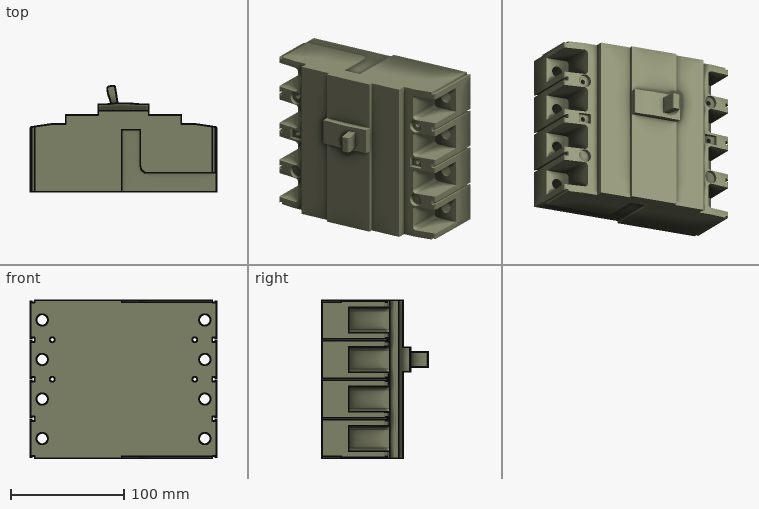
import cadquery as cq
length = 165.0
height = 140.0
pole_count = 4
pole_pitch = height / pole_count
half_length = length / 2

edge_depth = 57.5
shoulder_depth = 60.2
cover_depth = 68.3
ridge_depth = 72.0
plate_depth = 77.7
shoulder_half = 63.5
cover_half = 51.3
ridge_half = 22.5
edge_radius = 2.0

toggle_z = pole_pitch / 2
plate_height = 22.0
dome_half = 14.8
dome_depth = 78.7
toggle_height = 13.5
tip_depth = 94.2
toggle_root_left = -11.2
toggle_root_right = -5.1
toggle_flare_middle = (-12.4, 82.8)
toggle_flare_end = (-13.7, 86.5)
toggle_left_shoulder = (-14.5, 90.8)
toggle_left_round = (-13.7, 93.0)
toggle_tip_left = (-11.5, 93.7)
toggle_tip_right = -9.2
toggle_right_round = (-7.8, 93.5)
toggle_right_shoulder = (-7.3, 92.4)

pocket_floor_x = 60.4
pocket_height = 22.6
pocket_start = 24.1
pocket_radius = 3.1

neck_width = 2.0
neck_length = 1.3
head_width = 3.8
slot_length = 3.8

terminal_hole_diameter = 9.9
terminal_hole_x = 72.0
screw_hole_diameter = 4.3
screw_hole_x = 63.0
screw_seat_width = 8.5
screw_seat_length = 11.5
screw_seat_sink = screw_hole_diameter

recess_sink = 2.0
recess_left = -1.5
leg_right = 15.0
leg_depth = 55.3
foot_depth = 16.8
recess_radius = 6.1


def block(x0, x1, y0, y1, z0, z1):
    """Box given by its limits along each axis."""
    return cq.Workplane("XY").box(x1 - x0, y1 - y0, z1 - z0, centered=False).translate((x0, y0, z0))


def prism(sketch, thickness, middle_z):
    """Extrude an XY outline symmetrically about middle_z."""
    return sketch.extrude(thickness / 2, both=True).translate((0, 0, middle_z))


def hole(diameter, x, z):
    """Round cutter running through the whole depth."""
    return cq.Workplane("XZ").center(x, z).circle(diameter / 2).extrude(-tip_depth)


def make_screw_seat(x, z):
    """Recess around a screw position on the cover side: rectangular at mid-height, round elsewhere."""
    seat = cq.Workplane("XZ", origin=(0, shoulder_depth - screw_seat_sink, 0)).center(x, z)
    if z == 0:
        seat = seat.rect(screw_seat_length, screw_seat_width)
    else:
        seat = seat.circle(screw_seat_length / 2)
    return seat.extrude(-screw_seat_sink)


def make_case():
    """Stepped case with its outer cover edges rounded."""
    outline = (
        cq.Workplane("XY")
        .moveTo(-half_length, 0)
        .lineTo(-half_length, edge_depth)
        .lineTo(-shoulder_half, shoulder_depth)
        .lineTo(-cover_half, shoulder_depth)
        .lineTo(-cover_half, cover_depth)
        .lineTo(-ridge_half, cover_depth)
        .lineTo(-ridge_half, ridge_depth)
        .lineTo(ridge_half, ridge_depth)
        .lineTo(ridge_half, cover_depth)
        .lineTo(cover_half, cover_depth)
        .lineTo(cover_half, shoulder_depth)
        .lineTo(shoulder_half, shoulder_depth)
        .lineTo(half_length, edge_depth)
        .lineTo(half_length, 0)
        .close()
    )
    sharp_case = prism(outline, height, 0)
    outer_edges = cq.selectors.BoxSelector(
        (-length, edge_depth - edge_radius, -height), (length, edge_depth + edge_radius / 2, height)
    )
    return sharp_case.edges("|Z").edges(outer_edges).fillet(edge_radius)


def make_plate():
    """Raised plate with a slightly domed slide around the toggle."""
    outline = (
        cq.Workplane("XY")
        .moveTo(-ridge_half, cover_depth)
        .lineTo(-ridge_half, plate_depth)
        .lineTo(-dome_half, plate_depth)
        .threePointArc((0, dome_depth), (dome_half, plate_depth))
        .lineTo(ridge_half, plate_depth)
        .lineTo(ridge_half, cover_depth)
        .close()
    )
    return prism(outline, plate_height, toggle_z)


def make_toggle():
    """Lever leaning towards -X, rooted in the plate and rounded at its tip."""
    outline = (
        cq.Workplane("XY")
        .moveTo(toggle_root_left, cover_depth)
        .lineTo(toggle_root_left, dome_depth)
        .threePointArc(toggle_flare_middle, toggle_flare_end)
        .lineTo(*toggle_left_shoulder)
        .threePointArc(toggle_left_round, toggle_tip_left)
        .lineTo(toggle_tip_right, tip_depth)
        .threePointArc(toggle_right_round, toggle_right_shoulder)
        .lineTo(toggle_root_right, dome_depth)
        .lineTo(toggle_root_right, cover_depth)
        .close()
    )
    return prism(outline, toggle_height, toggle_z)


def make_pocket(side, z):
    """Terminal pocket open to the end face and to the cover side."""
    inner_x = side * pocket_floor_x
    outer_x = side * (half_length + pocket_radius)
    pocket = block(
        min(inner_x, outer_x), max(inner_x, outer_x),
        pocket_start, cover_depth,
        z - pocket_height / 2, z + pocket_height / 2,
    )
    inner_face = "<X" if side > 0 else ">X"
    return pocket.faces(inner_face).edges("|Y").fillet(pocket_radius)


def make_slot(side, z):
    """T-slot running the whole depth of an end face."""
    neck = cq.Workplane("XY").box(2 * slot_length, 2 * tip_depth, neck_width)
    head = cq.Workplane("XY").box(slot_length - neck_length, 2 * tip_depth, head_width)
    head_x = half_length - (slot_length + neck_length) / 2
    return neck.translate((side * half_length, 0, z)).union(head.translate((side * head_x, 0, z)))


def make_recess(side):
    """L-shaped shallow recess in the upper or lower side face."""
    outline = (
        cq.Workplane("XY")
        .moveTo(recess_left, 0)
        .lineTo(recess_left, leg_depth)
        .lineTo(leg_right, leg_depth)
        .lineTo(leg_right, foot_depth + recess_radius)
        .radiusArc((leg_right + recess_radius, foot_depth), -recess_radius)
        .lineTo(half_length, foot_depth)
        .lineTo(half_length, 0)
        .close()
    )
    return prism(outline, 2 * recess_sink, side * height / 2)


result = make_case().union(make_plate()).union(make_toggle())

for end in (-1, 1):
    for pole in range(pole_count):
        pole_z = (pole - (pole_count - 1) / 2) * pole_pitch
        result = result.cut(make_pocket(end, pole_z))
        result = result.cut(hole(terminal_hole_diameter, end * terminal_hole_x, pole_z))
    for boundary in range(pole_count + 1):
        result = result.cut(make_slot(end, boundary * pole_pitch - height / 2))
    for seat_z in (-pole_pitch, 0, pole_pitch):
        result = result.cut(make_screw_seat(end * screw_hole_x, seat_z))
    for screw_z in (0, pole_pitch):
        result = result.cut(hole(screw_hole_diameter, end * screw_hole_x, screw_z))
    result = result.cut(make_recess(end))